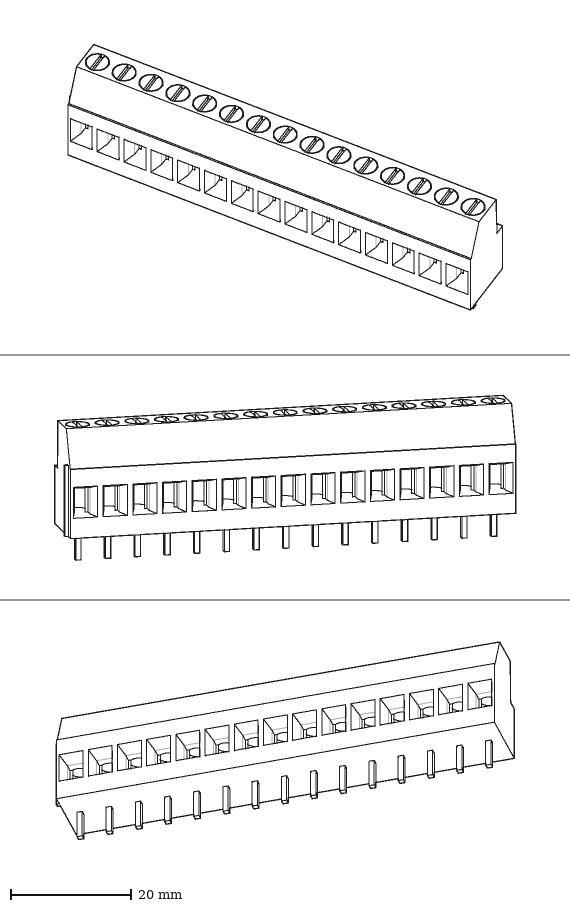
import cadquery as cq


total_length = 76.8
pole_count = 15
rib_projection = 0.5
housing_depth = 11.2
housing_height = 18.1
pin_length = 4.9

housing_length = total_length - rib_projection
pitch = housing_length / pole_count

front_height = 11.8
front_ledge = 0.3
top_front = 3.0
top_back = 9.0
back_step_height = 10.0
back_wall_foot = 9.2

rib_front = 1.6
rib_width = 0.7
rib_height = 12.1

pin_size = 0.9
pin_y = 5.3

screw_y = 5.6
screw_diameter = 3.8
screw_hole_diameter = 4.0
screw_gap_depth = 0.8
slot_width = 0.7
slot_depth = 0.8

entry_width = 4.15
entry_height = 5.3
entry_bottom = 3.45
funnel_side_inset = 0.7
funnel_top_drop = 0.8
funnel_depth = 2.45
clamp_opening = 1.85
clamp_diameter = screw_diameter

channel_width = entry_width - 2 * funnel_side_inset
channel_height = entry_height - funnel_top_drop
clamp_radius = clamp_diameter / 2
channel_end = screw_y - (clamp_radius ** 2 - (clamp_opening / 2) ** 2) ** 0.5


def box(x_center, y_min, z_min, width, depth, height):
    """Block centred on x_center, growing towards +Y and +Z."""
    return (
        cq.Workplane("XY")
        .box(width, depth, height, centered=(True, False, False))
        .translate((x_center, y_min, z_min))
    )


def cylinder(x_center, y_center, z_min, diameter, height):
    return (
        cq.Workplane("XY")
        .circle(diameter / 2)
        .extrude(height)
        .translate((x_center, y_center, z_min))
    )


def make_housing():
    profile = [
        (0, 0),
        (housing_depth, 0),
        (housing_depth, back_step_height),
        (back_wall_foot, back_step_height),
        (top_back, housing_height),
        (top_front, housing_height),
        (front_ledge, front_height),
        (0, front_height),
    ]
    return cq.Workplane("YZ").polyline(profile).close().extrude(housing_length)


def make_rib():
    return box(-rib_projection / 2, rib_front, 0, rib_projection, rib_width, rib_height)


def make_pin(x):
    return box(x, pin_y - pin_size / 2, -pin_length, pin_size, pin_size, pin_length)


def make_screw_cut(x):
    """Ring gap around the screw head plus the screwdriver slot across it."""
    gap_bottom = housing_height - screw_gap_depth
    gap = cylinder(x, screw_y, gap_bottom, screw_hole_diameter, screw_gap_depth)
    head = cylinder(x, screw_y, gap_bottom, screw_diameter, screw_gap_depth)
    slot = box(
        x,
        screw_y - screw_hole_diameter / 2,
        housing_height - slot_depth,
        slot_width,
        screw_hole_diameter,
        slot_depth,
    )
    return gap.cut(head).union(slot)


def make_wire_entry_cut(x):
    funnel = (
        cq.Workplane("XZ")
        .center(x, entry_bottom + entry_height / 2)
        .rect(entry_width, entry_height)
        .workplane(offset=-funnel_depth)
        .center(0, -funnel_top_drop / 2)
        .rect(channel_width, channel_height)
        .loft(ruled=True)
    )
    channel = box(
        x, funnel_depth, entry_bottom, channel_width, channel_end - funnel_depth, channel_height
    )
    clamp_bore = cylinder(x, screw_y, entry_bottom, clamp_diameter, entry_height)
    return funnel.union(channel).union(clamp_bore)


result = make_housing().union(make_rib())
for pole in range(pole_count):
    pole_x = (pole + 0.5) * pitch
    result = result.union(make_pin(pole_x))
    result = result.cut(make_screw_cut(pole_x))
    result = result.cut(make_wire_entry_cut(pole_x))